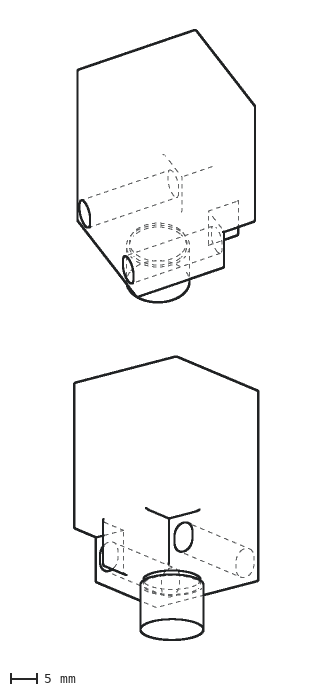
import cadquery as cq

BODY_WIDTH = 25.0
BODY_DEPTH = 25.5
BODY_HEIGHT = 38.5
EDGE_RADIUS = 0.5

SLOT_WIDTH = 4.3
SLOT_HEIGHT = 5.8
SLOT_SPACING = 18.0
SLOT_CENTRE_Z = 4.5

RECESS_WIDTH = 7.0
RECESS_DEPTH = 6.6
RECESS_HEIGHT = 9.0

CONNECTOR_DIAMETER = 12.0
CONNECTOR_LENGTH = 9.0
NECK_DIAMETER = 10.9
NECK_LENGTH = 1.0
FRONT_TO_CONNECTOR_AXIS = 11.0


def inner_recess_edges():
    """Selector for the concave edges where the faces of each recess meet; these stay sharp."""
    margin = 0.01
    wall_y = BODY_DEPTH / 2 - RECESS_DEPTH
    half_width = BODY_WIDTH / 2
    return cq.selectors.BoxSelector(
        (-half_width + margin, wall_y - margin, RECESS_HEIGHT / 2 - margin),
        (half_width - margin, wall_y + RECESS_DEPTH / 2 + margin, RECESS_HEIGHT + margin),
    )


def make_housing():
    """Box with a recess at both lower rear corners and all convex edges rounded."""
    housing = cq.Workplane("XY").box(
        BODY_WIDTH, BODY_DEPTH, BODY_HEIGHT, centered=(True, True, False)
    )
    for side in (-1, 1):
        recess = (
            cq.Workplane("XY")
            .box(RECESS_WIDTH, RECESS_DEPTH, RECESS_HEIGHT, centered=(True, True, False))
            .translate((
                side * (BODY_WIDTH - RECESS_WIDTH) / 2,
                (BODY_DEPTH - RECESS_DEPTH) / 2,
                0,
            ))
        )
        housing = housing.cut(recess)
    return housing.edges(-inner_recess_edges()).fillet(EDGE_RADIUS)


def make_slots():
    """Two upright obround cutters spanning the full depth of the housing."""
    return (
        cq.Workplane("XZ", origin=(0, BODY_DEPTH / 2, SLOT_CENTRE_Z))
        .pushPoints([(-SLOT_SPACING / 2, 0), (SLOT_SPACING / 2, 0)])
        .slot2D(SLOT_HEIGHT, SLOT_WIDTH, 90)
        .extrude(BODY_DEPTH)
    )


def make_connector():
    """Short neck and wider plug cylinder below the housing."""
    return (
        cq.Workplane("XY", origin=(0, FRONT_TO_CONNECTOR_AXIS - BODY_DEPTH / 2, 0))
        .circle(NECK_DIAMETER / 2)
        .extrude(-NECK_LENGTH)
        .faces("<Z")
        .workplane()
        .circle(CONNECTOR_DIAMETER / 2)
        .extrude(CONNECTOR_LENGTH)
    )


result = make_housing().union(make_connector()).cut(make_slots())